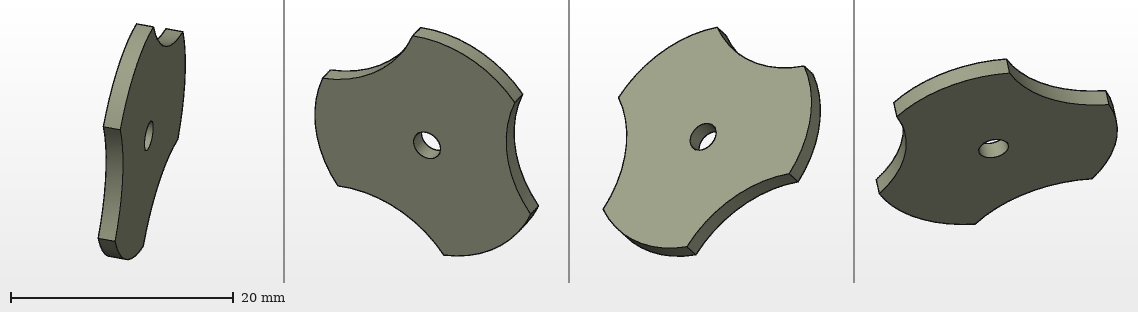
import cadquery as cq

thickness = 1.6
disc_radius = 11.31
bore_diameter = 2.7
scallop_count = 3
scallop_radius = disc_radius
scallop_center_distance = 19.48
first_scallop_angle = 52.0


def disc():
    """Flat round plate with its axis along X."""
    return cq.Workplane("YZ").circle(disc_radius).extrude(thickness)


def scallop_cutters():
    """Equally spaced cylinders that bite concave arcs out of the rim."""
    return (
        cq.Workplane("YZ")
        .polarArray(scallop_center_distance, first_scallop_angle, 360, scallop_count)
        .circle(scallop_radius)
        .extrude(thickness)
    )


def bore_cutter():
    """Central through hole."""
    return cq.Workplane("YZ").circle(bore_diameter / 2).extrude(thickness)


result = disc().cut(scallop_cutters()).cut(bore_cutter())